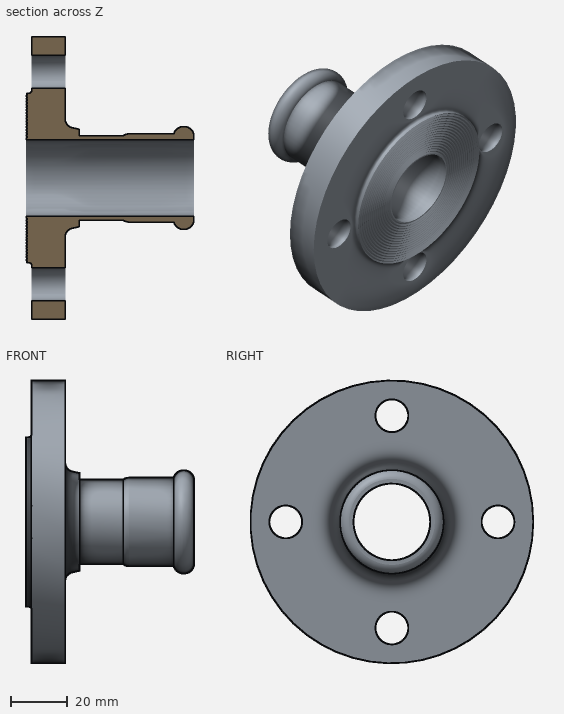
import cadquery as cq
import math

FLANGE_FRONT_X = 2.0
FLANGE_BACK_X = 14.0
HUB_END_X = 19.0
STEP_START_X = 34.4
STEP_END_X = 36.5
LENGTH = 59.5

BORE_RADIUS = 27.0 / 2
FACE_RADIUS = 60.0 / 2
FLANGE_RADIUS = 100.0 / 2
TUBE_RADIUS = 30.0 / 2
SOCKET_RADIUS = 31.4 / 2
HUB_END_RADIUS = 17.3

FACE_FILLET = 1.0
HUB_FILLET = 3.0
HUB_TAPER = math.radians(12.5)
HUB_FILLET_END_X = FLANGE_BACK_X + HUB_FILLET * (1 - math.sin(HUB_TAPER))
BEAD_OUTER_RADIUS = 18.3
BEAD_SECTION_RADIUS = 3.75
BEAD_END_RADIUS = 15.2

GROOVE_PITCH = 1.0
GROOVE_DEPTH = 0.5
GROOVE_COUNT = 16

BOLT_HOLE_DIAMETER = 11.5
BOLT_CIRCLE_DIAMETER = 75.0
BOLT_COUNT = 4


def arc_point(center_x, center_r, radius, angle):
    """Point of a circle in the (x, radius) half-plane."""
    return (center_x + radius * math.cos(angle), center_r + radius * math.sin(angle))


def add_flange(outline):
    """Raised face edge, fillet and flange rim."""
    fillet_middle = arc_point(
        FLANGE_FRONT_X - FACE_FILLET, FACE_RADIUS + FACE_FILLET, FACE_FILLET, -math.pi / 4
    )
    return (
        outline.lineTo(FLANGE_FRONT_X - FACE_FILLET, FACE_RADIUS)
        .threePointArc(fillet_middle, (FLANGE_FRONT_X, FACE_RADIUS + FACE_FILLET))
        .lineTo(FLANGE_FRONT_X, FLANGE_RADIUS)
        .lineTo(FLANGE_BACK_X, FLANGE_RADIUS)
    )


def add_hub(outline):
    """Fillet off the flange back, running into a tapered weld collar."""
    fillet_end_radius = HUB_END_RADIUS + (HUB_END_X - HUB_FILLET_END_X) * math.tan(HUB_TAPER)
    center_x = FLANGE_BACK_X + HUB_FILLET
    center_r = fillet_end_radius + HUB_FILLET * math.cos(HUB_TAPER)
    end_angle = 1.5 * math.pi - HUB_TAPER
    middle_angle = (math.pi + end_angle) / 2
    return (
        outline.lineTo(FLANGE_BACK_X, center_r)
        .threePointArc(
            arc_point(center_x, center_r, HUB_FILLET, middle_angle),
            arc_point(center_x, center_r, HUB_FILLET, end_angle),
        )
        .lineTo(HUB_END_X, HUB_END_RADIUS)
        .lineTo(HUB_END_X, TUBE_RADIUS)
    )


def add_tube(outline):
    """Plain tube, then a rounded step up to the wider press socket."""
    rise = SOCKET_RADIUS - TUBE_RADIUS
    run = STEP_END_X - STEP_START_X
    step_radius = (run**2 + rise**2) / (2 * rise)
    start_angle = math.pi - math.acos(run / step_radius)
    middle_angle = (start_angle + math.pi / 2) / 2
    step_middle = arc_point(STEP_END_X, SOCKET_RADIUS - step_radius, step_radius, middle_angle)
    return outline.lineTo(STEP_START_X, TUBE_RADIUS).threePointArc(
        step_middle, (STEP_END_X, SOCKET_RADIUS)
    )


def add_bead(outline):
    """Rounded bead at the socket mouth, cut off by the flat end face."""
    center_r = BEAD_OUTER_RADIUS - BEAD_SECTION_RADIUS
    center_x = LENGTH - math.sqrt(BEAD_SECTION_RADIUS**2 - (BEAD_END_RADIUS - center_r) ** 2)
    start_x = center_x - math.sqrt(BEAD_SECTION_RADIUS**2 - (SOCKET_RADIUS - center_r) ** 2)
    return (
        outline.lineTo(start_x, SOCKET_RADIUS)
        .threePointArc((center_x, BEAD_OUTER_RADIUS), (LENGTH, BEAD_END_RADIUS))
        .lineTo(LENGTH, BORE_RADIUS)
    )


def add_grooves(outline):
    """V-grooves side by side, from the bore side out to the rim of the raised face."""
    inner_radius = FACE_RADIUS - GROOVE_COUNT * GROOVE_PITCH
    outline = outline.lineTo(0, inner_radius)
    for index in range(GROOVE_COUNT):
        start = inner_radius + index * GROOVE_PITCH
        outline = outline.lineTo(GROOVE_DEPTH, start + GROOVE_PITCH / 2)
        outline = outline.lineTo(0, start + GROOVE_PITCH)
    return outline


def make_body():
    outline = cq.Workplane("XY").moveTo(0, BORE_RADIUS)
    for add_section in (add_grooves, add_flange, add_hub, add_tube, add_bead):
        outline = add_section(outline)
    return outline.close().revolve(360, (0, 0, 0), (1, 0, 0))


def make_bolt_holes():
    return (
        cq.Workplane("YZ")
        .polarArray(BOLT_CIRCLE_DIAMETER / 2, 0, 360, BOLT_COUNT)
        .circle(BOLT_HOLE_DIAMETER / 2)
        .extrude(FLANGE_BACK_X)
    )


result = make_body().cut(make_bolt_holes())